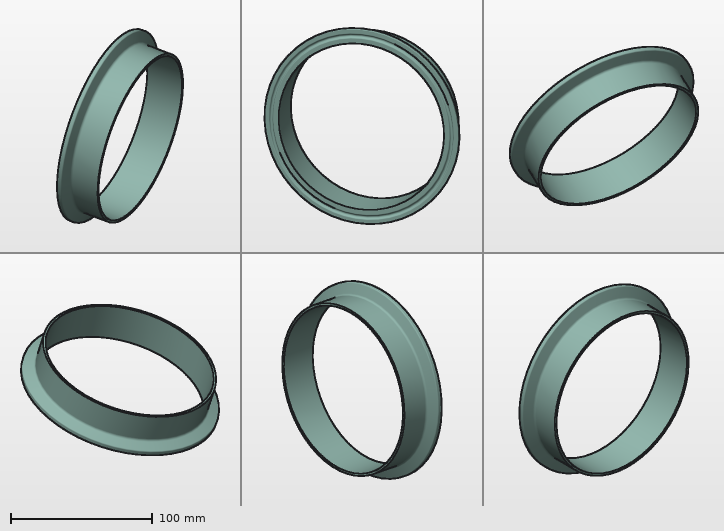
import cadquery as cq
import math

length = 28.0
flange_radius = 72.2
tube_outer_radius = 63.4
bore_radius = 61.5

cone_angle = math.radians(20)
cone_start = 3.6
cone_end = cone_start + (flange_radius - tube_outer_radius) * math.tan(cone_angle)
face_edge_fillet = 0.36
rim_fillet = 0.94
neck_fillet = 1.9

groove_radius = 67.1
groove_bottom_half_width = 1.2
groove_half_width = 2.0
groove_wall_angle = math.radians(70)

blend_turn = math.pi / 2 - cone_angle
rim_setback = rim_fillet * math.tan(blend_turn / 2)
neck_setback = neck_fillet * math.tan(blend_turn / 2)


def arc_point(center, radius, angle):
    """Point on a circle, with the angle measured from +X toward +radius."""
    return (
        center[0] + radius * math.cos(angle),
        center[1] + radius * math.sin(angle),
    )


def add_arc(profile, center, radius, start_angle, end_angle):
    """Continue the outline along an arc that begins at its current point."""
    middle = arc_point(center, radius, (start_angle + end_angle) / 2)
    end = arc_point(center, radius, end_angle)
    return profile.threePointArc(middle, end)


def add_groove(profile):
    """Trace the groove outward across the face: inner lip, bottom, outer lip."""
    wall = groove_wall_angle
    lip_radius = (groove_half_width - groove_bottom_half_width) / math.sin(wall)
    bottom_radius = groove_bottom_half_width / math.sin(wall)
    depth = (lip_radius + bottom_radius) * (1 - math.cos(wall))
    inner_edge = groove_radius - groove_half_width
    outer_edge = groove_radius + groove_half_width

    profile = profile.lineTo(0, inner_edge)
    profile = add_arc(profile, (lip_radius, inner_edge), lip_radius, math.pi, math.pi - wall)
    profile = add_arc(profile, (depth - bottom_radius, groove_radius), bottom_radius, -wall, wall)
    return add_arc(profile, (lip_radius, outer_edge), lip_radius, math.pi + wall, math.pi)


def add_flange(profile):
    """Trace the rim and the clamp cone down to the tube, with their blends."""
    face_center = (face_edge_fillet, flange_radius - face_edge_fillet)
    rim_center = (cone_start - rim_setback, flange_radius - rim_fillet)
    neck_center = (cone_end + neck_setback, tube_outer_radius + neck_fillet)
    cone_foot = arc_point(neck_center, neck_fillet, math.pi + cone_angle)

    profile = profile.lineTo(0, face_center[1])
    profile = add_arc(profile, face_center, face_edge_fillet, math.pi, math.pi / 2)
    profile = profile.lineTo(rim_center[0], flange_radius)
    profile = add_arc(profile, rim_center, rim_fillet, math.pi / 2, cone_angle)
    profile = profile.lineTo(*cone_foot)
    return add_arc(profile, neck_center, neck_fillet, math.pi + cone_angle, 3 * math.pi / 2)


outline = cq.Workplane("XZ").moveTo(0, bore_radius)
outline = add_groove(outline)
outline = add_flange(outline)
outline = outline.lineTo(length, tube_outer_radius).lineTo(length, bore_radius).close()

result = outline.revolve(360, (0, 0, 0), (1, 0, 0))